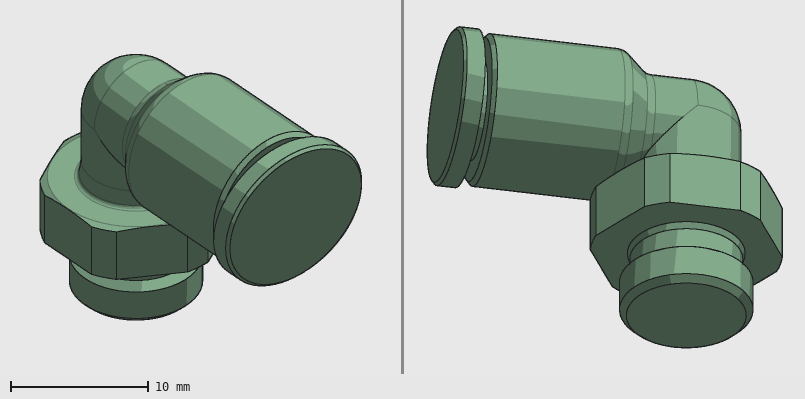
import cadquery as cq
import math


pipe_radius = 4.0

stem_bottom = -15.7
flare_top = -4.5
nut_top = -5.95
nut_bottom = -10.33
flare_radius = 4.2
flare_fillet = 0.32
collar_radius = 4.3
groove_radius = 4.12
thread_radius = 4.87
stem_chamfer = 0.5
thread_top = -12.85

nut_flats = 13.0
nut_corner_radius = 7.0
nut_rim_radius = 6.45
nut_rim_drop = 0.17

socket_diameter = 11.2
socket_radius = socket_diameter / 2
shoulder_start = 3.52
shoulder_end = 5.4
shoulder_fillet = 1.0
socket_end = 15.6
socket_chamfer = 0.32

sleeve_radius = 3.75
flange_start = 16.37
flange_end = 17.95
flange_half_width = nut_flats / 2
flange_half_height = 5.55
flange_chamfer = 0.22
sleeve_fillet = 0.15


def ring_edges(body, radius):
    """Circular edges of the given radius."""
    return body.edges("%CIRCLE").filter(lambda edge: math.isclose(edge.radius(), radius))


def make_elbow():
    """Two equal pipes meeting in a mitre, with a ball closing the outside of the bend."""
    ball = cq.Workplane("XY").sphere(pipe_radius)
    upright = cq.Workplane("XY").circle(pipe_radius).extrude(flare_top)
    arm = cq.Workplane("YZ").circle(pipe_radius).extrude(shoulder_end)
    return ball.union(upright).union(arm)


def make_stem():
    """Turned stem: flared top, flat seat inside the nut, relief groove and thread."""
    profile = [
        (0, stem_bottom),
        (thread_radius - stem_chamfer, stem_bottom),
        (thread_radius, stem_bottom + stem_chamfer),
        (thread_radius, thread_top),
        (groove_radius, thread_top + stem_chamfer),
        (groove_radius, nut_bottom - stem_chamfer),
        (collar_radius, nut_bottom),
        (nut_rim_radius, nut_bottom),
        (nut_rim_radius, nut_top),
        (flare_radius, nut_top),
        (pipe_radius, flare_top),
        (0, flare_top),
    ]
    stem = cq.Workplane("XZ").polyline(profile).close().revolve(360, (0, 0), (0, 1))
    return ring_edges(stem, flare_radius).fillet(flare_fillet)


def make_nut():
    """Hexagon with flats facing +-Y, trimmed by a turned blank with a bevelled top rim."""
    across_corners = nut_flats / math.cos(math.radians(30))
    height = nut_top - nut_bottom
    hexagon = cq.Workplane("XY").workplane(offset=nut_bottom).polygon(6, across_corners).extrude(height)
    blank_profile = [
        (0, nut_bottom),
        (nut_corner_radius, nut_bottom),
        (nut_corner_radius, nut_top - nut_rim_drop),
        (nut_rim_radius, nut_top),
        (0, nut_top),
    ]
    blank = cq.Workplane("XZ").polyline(blank_profile).close().revolve(360, (0, 0), (0, 1))
    return hexagon.intersect(blank)


def make_socket():
    """Turned socket body: short neck, rounded conical shoulder and chamfered mouth."""
    profile = [
        (0, 0),
        (0, pipe_radius),
        (shoulder_start, pipe_radius),
        (shoulder_end, socket_radius),
        (socket_end - socket_chamfer, socket_radius),
        (socket_end, socket_radius - socket_chamfer),
        (socket_end, 0),
    ]
    socket = cq.Workplane("XZ").polyline(profile).close().revolve(360, (0, 0), (1, 0))
    socket = ring_edges(socket, pipe_radius).edges(">X").fillet(shoulder_fillet)
    return ring_edges(socket, socket_radius).edges("<X").fillet(shoulder_fillet)


def make_sleeve():
    """Round sleeve leaving the socket, ending in an oval flange."""
    sleeve = cq.Workplane("YZ").circle(sleeve_radius).extrude(flange_start)
    flange = (
        cq.Workplane("YZ")
        .workplane(offset=flange_start)
        .ellipse(flange_half_width, flange_half_height)
        .extrude(flange_end - flange_start)
        .faces(">X")
        .chamfer(flange_chamfer)
    )
    sleeve = sleeve.union(flange)
    return ring_edges(sleeve, sleeve_radius).edges(">X").fillet(sleeve_fillet)


result = (
    make_elbow()
    .union(make_stem())
    .union(make_nut())
    .union(make_socket())
    .union(make_sleeve())
)